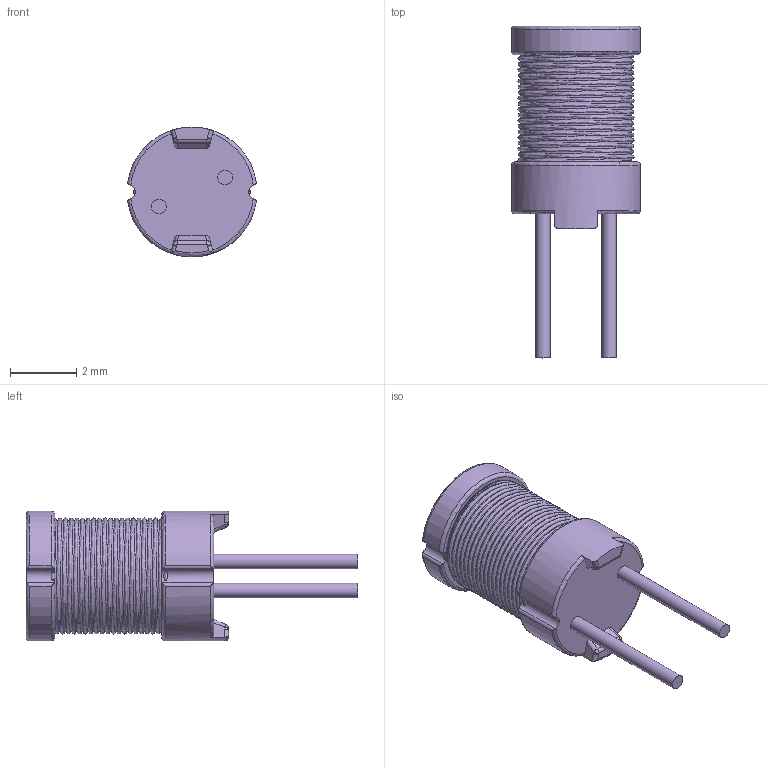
import cadquery as cq
import math


drum_radius = 1.96
body_length = 5.66
base_thickness = 1.565
cap_thickness = 0.86
rim_round = 0.1

notch_radius = 0.215
notch_center = 1.92
notch_mouth_round = 0.09

tab_height = 0.45
tab_outer_half_width = 0.68
tab_inner_half_width = 0.485
tab_face_inner = 1.305
tab_tip_inner = 1.505
tab_round = 0.12

lead_diameter = 0.44
lead_x = 1.0
lead_z = 0.44
lead_length = 4.35

wire_diameter = 0.11
wire_pitch = 0.17
wire_embed = 0.03
winding_outer_radius = 1.75
exposed_turns = 20
buried_turns = 0.125
notch_crossing = 1.45

winding_radius = winding_outer_radius - wire_diameter / 2
core_radius = winding_outer_radius - wire_diameter + wire_embed


def disc(radius, start, length):
    """Cylinder on the Y axis from Y = start to start + length."""
    return cq.Workplane("XZ", origin=(0, start, 0)).circle(radius).extrude(-length)


def drum():
    """Round-edged base and cap flanges joined by a core that carries the winding."""
    base = disc(drum_radius, 0, base_thickness).edges().fillet(rim_round)
    cap = disc(drum_radius, body_length - cap_thickness, cap_thickness).edges().fillet(rim_round)
    return base.union(cap).union(disc(core_radius, 0, body_length))


def notch(side):
    """Cutter for the round groove, with rounded mouth, on the +X (side = 1) or -X (side = -1) flank."""
    to_axis = drum_radius - notch_mouth_round
    to_groove = notch_radius + notch_mouth_round
    round_x = (to_axis**2 + notch_center**2 - to_groove**2) / (2 * notch_center)
    round_z = math.sqrt(to_axis**2 - round_x**2)

    mouth_x = round_x * drum_radius / to_axis
    mouth_z = round_z * drum_radius / to_axis
    neck_x = notch_center + (round_x - notch_center) * notch_radius / to_groove
    neck_z = round_z * notch_radius / to_groove

    mouth_angle = math.atan2(round_z, round_x)
    neck_angle = math.atan2(-round_z, notch_center - round_x)
    middle_angle = (mouth_angle + neck_angle) / 2
    middle_x = round_x + notch_mouth_round * math.cos(middle_angle)
    middle_z = round_z + notch_mouth_round * math.sin(middle_angle)

    outside = drum_radius + notch_radius
    return (
        cq.Workplane("XZ")
        .moveTo(side * outside, mouth_z)
        .lineTo(side * mouth_x, mouth_z)
        .threePointArc((side * middle_x, middle_z), (side * neck_x, neck_z))
        .threePointArc((side * (notch_center - notch_radius), 0), (side * neck_x, -neck_z))
        .threePointArc((side * middle_x, -middle_z), (side * mouth_x, -mouth_z))
        .lineTo(side * outside, -mouth_z)
        .close()
        .extrude(-body_length)
    )


def tab(round_outer_edge):
    """Upper standoff tab: tapered sides, sloped inner face, outer face flush with the drum."""
    slope = (tab_tip_inner - tab_face_inner) / tab_height
    root_inner = tab_face_inner - slope * rim_round
    full_length = tab_height + rim_round

    taper = (
        cq.Workplane("XZ", origin=(0, rim_round, 0))
        .moveTo(-tab_inner_half_width, root_inner)
        .lineTo(tab_inner_half_width, root_inner)
        .lineTo(tab_outer_half_width, drum_radius)
        .lineTo(-tab_outer_half_width, drum_radius)
        .close()
        .extrude(full_length)
    )
    side_profile = (
        cq.Workplane("YZ")
        .moveTo(rim_round, drum_radius)
        .lineTo(rim_round, root_inner)
        .lineTo(-tab_height, tab_tip_inner)
        .lineTo(-tab_height, drum_radius)
        .close()
        .extrude(tab_outer_half_width, both=True)
    )
    shape = taper.intersect(side_profile).intersect(disc(drum_radius, -tab_height, full_length))
    shape = shape.faces("<Z").edges("not |X").fillet(tab_round)

    tip = shape.faces("<Y")
    tip_edges = tip.edges() if round_outer_edge else tip.edges("not >Z")
    return tip_edges.fillet(tab_round)


def leads():
    """Two round pins, diagonally opposite about the drum axis."""
    return (
        cq.Workplane("XZ")
        .pushPoints([(lead_x, lead_z), (-lead_x, -lead_z)])
        .circle(lead_diameter / 2)
        .extrude(lead_length)
    )


def winding():
    """Single-layer left-hand coil that crosses the -X notch in both flanges."""
    turns = exposed_turns + 2 * buried_turns
    path = cq.Wire.makeHelix(wire_pitch, turns * wire_pitch, winding_radius, lefthand=True)
    coil = (
        cq.Workplane("XZ", origin=(winding_radius, 0, 0))
        .circle(wire_diameter / 2)
        .sweep(cq.Workplane(obj=path), isFrenet=True)
    )
    coil = coil.rotate((0, 0, 0), (0, 0, 1), 180 + 360 * buried_turns)
    coil = coil.rotate((0, 0, 0), (1, 0, 0), -90)
    return coil.translate((0, notch_crossing - buried_turns * wire_pitch, 0))


upper_tab = tab(round_outer_edge=False)
lower_tab = tab(round_outer_edge=True).mirror("XY")

body = drum().union(upper_tab).union(lower_tab)
for side in (1, -1):
    body = body.cut(notch(side))
result = body.union(leads()).union(winding())